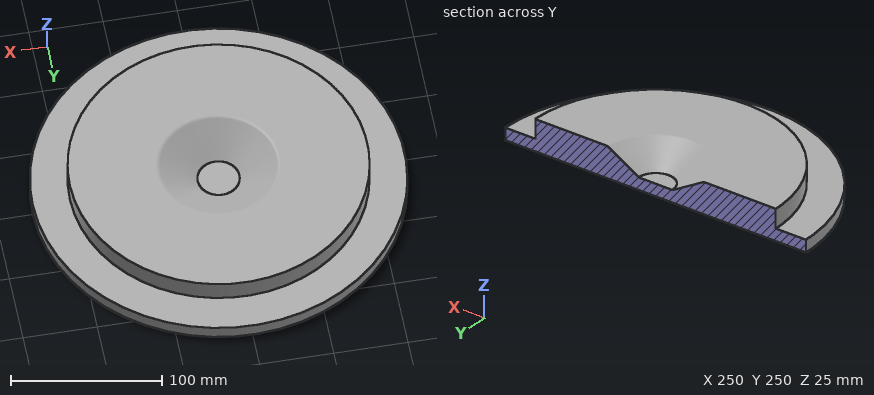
import cadquery as cq
import math

flange_diameter = 250.0
flange_thickness = 10.0
boss_diameter = 200.0
boss_height = 15.0
total_height = flange_thickness + boss_height

recess_mouth_diameter = 80.0
recess_depth = 15.0
recess_wall_slope = 30.0
rim_radius = 5.0
recess_wall_run = recess_depth / math.tan(math.radians(recess_wall_slope))
recess_floor_diameter = recess_mouth_diameter - 2 * recess_wall_run


def stepped_disc():
    """Flange with a concentric boss on top, base on Z = 0."""
    flange = cq.Workplane("XY").circle(flange_diameter / 2).extrude(flange_thickness)
    return flange.faces(">Z").workplane().circle(boss_diameter / 2).extrude(boss_height)


def conical_recess():
    """Solid to remove: a truncated cone narrowing down to the recess floor."""
    cone = cq.Solid.makeCone(
        recess_floor_diameter / 2,
        recess_mouth_diameter / 2,
        recess_depth,
        pnt=cq.Vector(0, 0, total_height - recess_depth),
    )
    return cq.Workplane(obj=cone)


def round_rim(body):
    """Blend the recess wall into the top face."""
    mouth_edge = cq.selectors.RadiusNthSelector(0)
    return body.faces(">Z").edges(mouth_edge).fillet(rim_radius)


result = round_rim(stepped_disc().cut(conical_recess()))